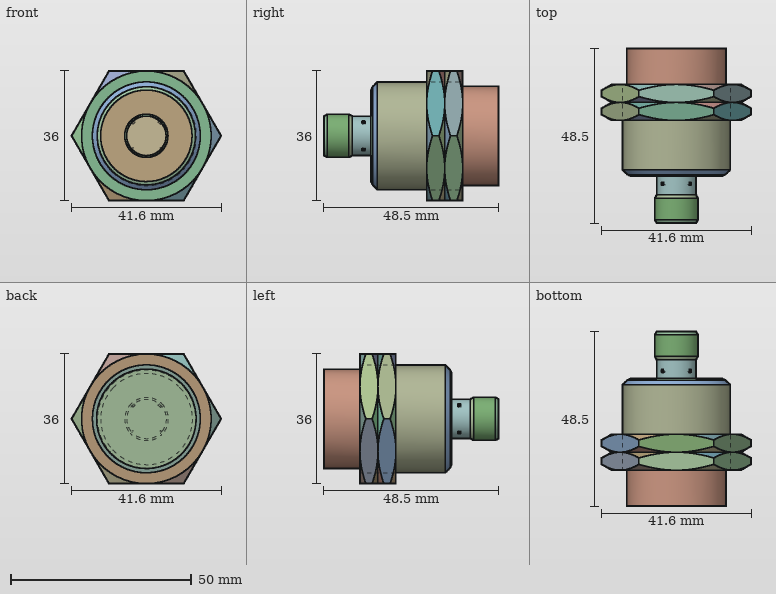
import cadquery as cq
import math

OVERALL_LENGTH = 48.5

NUT_COUNT = 2
NUT_THICKNESS = 5.0
NUT_ACROSS_FLATS = 36.0
NUT_ACROSS_CORNERS = NUT_ACROSS_FLATS / math.cos(math.radians(30))
NUT_CHAMFER_ANGLE = 30.0

HEAD_RADIUS = 13.8
HEAD_LENGTH = 10.0
SLEEVE_RADIUS = 15.0
SLEEVE_BEVEL_RADIUS = 13.65
SLEEVE_FACE_RADIUS = 12.7
SLEEVE_END_AT = 33.7
SLEEVE_BEVEL_END_AT = 35.0
SLEEVE_FACE_AT = 35.45

NECK_RADIUS = 5.5
NECK_END_AT = 40.6
PLUG_RADIUS = 6.0
PLUG_START_AT = 41.55
PLUG_CHAMFER_AT = 47.6

WINDOW_COUNT = 4
WINDOW_FIRST_ANGLE = 45.0
WINDOW_AT = 37.55
WINDOW_RADIUS = 0.45
WINDOW_DEPTH = 0.5


def revolve_about_y(outline):
    """Turn an outline of (radius, y) points into a solid of revolution."""
    return cq.Workplane("XY").polyline(outline).close().revolve(360, (0, 0, 0), (0, 1, 0))


def make_window_cutter(angle):
    """Radial cylinder for one window, hollowed at its inner end to leave the dome."""
    direction = cq.Vector(math.cos(math.radians(angle)), 0, math.sin(math.radians(angle)))
    floor_center = direction * (NECK_RADIUS - WINDOW_DEPTH) + cq.Vector(0, -WINDOW_AT, 0)
    hole = cq.Solid.makeCylinder(WINDOW_RADIUS, 2 * WINDOW_DEPTH, floor_center, direction)
    dome = cq.Workplane("XY").sphere(WINDOW_RADIUS).translate(floor_center)
    return cq.Workplane(hole).cut(dome)


def make_housing():
    """Head, sleeve and connector plug, turned as one body."""
    housing = revolve_about_y([
        (0, 0),
        (HEAD_RADIUS, 0),
        (HEAD_RADIUS, -HEAD_LENGTH),
        (SLEEVE_RADIUS, -HEAD_LENGTH),
        (SLEEVE_RADIUS, -SLEEVE_END_AT),
        (SLEEVE_BEVEL_RADIUS, -SLEEVE_BEVEL_END_AT),
        (SLEEVE_FACE_RADIUS, -SLEEVE_FACE_AT),
        (NECK_RADIUS, -SLEEVE_FACE_AT),
        (NECK_RADIUS, -NECK_END_AT),
        (PLUG_RADIUS, -PLUG_START_AT),
        (PLUG_RADIUS, -PLUG_CHAMFER_AT),
        (NECK_RADIUS, -OVERALL_LENGTH),
        (0, -OVERALL_LENGTH),
    ])
    for index in range(WINDOW_COUNT):
        angle = WINDOW_FIRST_ANGLE + index * 360 / WINDOW_COUNT
        housing = housing.cut(make_window_cutter(angle))
    return housing


def make_nut(rear_at):
    """Hexagon nut with both faces chamfered, its rear face at the given distance."""
    hexagon = (
        cq.Workplane("XZ", origin=(0, -rear_at, 0))
        .polygon(6, NUT_ACROSS_CORNERS)
        .extrude(NUT_THICKNESS)
    )
    rim_radius = NUT_ACROSS_FLATS / 2
    corner_radius = NUT_ACROSS_CORNERS / 2
    chamfer_depth = (corner_radius - rim_radius) * math.tan(math.radians(NUT_CHAMFER_ANGLE))
    front_at = rear_at + NUT_THICKNESS
    chamfered_ring = revolve_about_y([
        (SLEEVE_RADIUS, -rear_at),
        (rim_radius, -rear_at),
        (corner_radius, -rear_at - chamfer_depth),
        (corner_radius, -front_at + chamfer_depth),
        (rim_radius, -front_at),
        (SLEEVE_RADIUS, -front_at),
    ])
    return hexagon.intersect(chamfered_ring)


housing = make_housing()
nuts = [make_nut(HEAD_LENGTH + index * NUT_THICKNESS) for index in range(NUT_COUNT)]

result = cq.Compound.makeCompound([housing.solids().val(), *[nut.solids().val() for nut in nuts]])